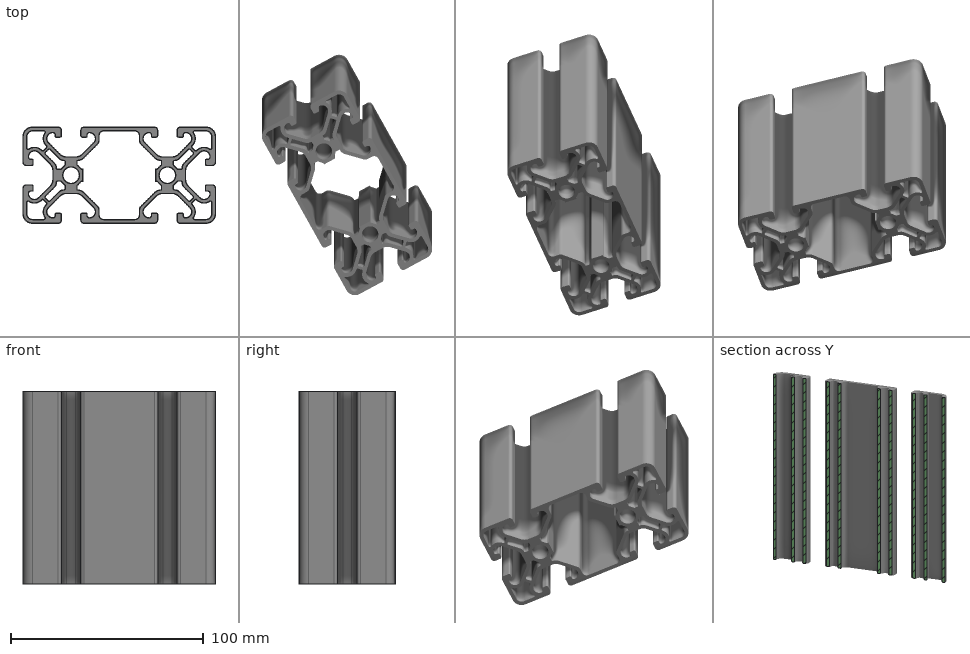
import cadquery as cq
import math

length = 100.0
width = 100.0
depth = 50.0
corner_radius = 5.0
bore_diameter = 8.5

half_module = depth / 2
module_offset = width / 2 - half_module
skin = 2.0
slot_wall = 1.9

mouth_half_width = 5.0
mouth_radius = 1.75
lip_depth = 5.3
lip_inner_half_width = 8.3
lip_radius = 0.9
lip_corner_radius = 0.6
bulb_centre_side = 9.5
bulb_centre_height = 19.0
bulb_radius = 3.1
bulb_lip_radius = 1.1
slot_floor = 9.5
slot_floor_radius = 5.0

spoke_half_width = 3.1
hub_bevel_far = 5.35
hub_bevel_near = 3.2
hub_pad_reach = 6.1
hub_corner_radius = 0.5
spoke_arc_radius = 3.6

web_outer_distance = 19.2
web_thickness = 1.4
web_corner_radius = 0.6
hollow_tip_radius = 0.7
cavity_corner_radius = 2.5
cavity_bend_radius = 2.5
cavity_spoke_arc_radius = 4.8

root2 = math.sqrt(2)
touching = 1e-6
inner_face = half_module - skin
wall_radius = bulb_radius + slot_wall
bulb_rise = bulb_centre_height - bulb_centre_side
flank_offset = bulb_rise - root2 * bulb_radius
wall_offset = bulb_rise - root2 * wall_radius
bulb_side = bulb_centre_side + bulb_radius
bulb_top = bulb_centre_height + bulb_radius
wall_side = bulb_centre_side + wall_radius
wall_floor = slot_floor - slot_wall


def corner_arc(before, corner, after):
    """Return the start, middle and end of the arc that rounds a corner (x, y, radius)."""
    x, y, radius = corner
    back = math.atan2(before[1] - y, before[0] - x)
    ahead = math.atan2(after[1] - y, after[0] - x)
    half_turn = math.remainder(ahead - back, math.tau) / 2
    half_angle = abs(half_turn)
    bisector = back + half_turn
    tangent = radius / math.tan(half_angle)
    crown = radius / math.sin(half_angle) - radius
    start = (x + tangent * math.cos(back), y + tangent * math.sin(back))
    middle = (x + crown * math.cos(bisector), y + crown * math.sin(bisector))
    end = (x + tangent * math.cos(ahead), y + tangent * math.sin(ahead))
    return start, middle, end


def rounded_prism(corners):
    """Extrude a closed outline of (x, y, radius) corners over the full length."""
    outline = cq.Workplane("XY")
    pen = None
    for index, corner in enumerate(corners):
        start = middle = end = corner[:2]
        rounded = corner[2] > 0
        if rounded:
            after = corners[(index + 1) % len(corners)]
            start, middle, end = corner_arc(corners[index - 1], corner, after)
        if pen is None:
            outline = outline.moveTo(*start)
        elif math.dist(start, pen) > touching:
            outline = outline.lineTo(*start)
        if rounded:
            outline = outline.threePointArc(middle, end)
        pen = end
    return outline.close().extrude(length)


def mirrored_in_x(corners):
    """Append the mirror image in x = 0, in reverse order, to close the outline."""
    return corners + [(-x, y, radius) for x, y, radius in reversed(corners)]


def mirrored_in_y(corners):
    """Append the mirror image in y = 0, in reverse order, to close the outline."""
    return corners + [(x, -y, radius) for x, y, radius in reversed(corners)]


def mirrored_in_diagonal(corners):
    """Append the mirror image in y = x, in reverse order, to close the outline."""
    return corners + [(y, x, radius) for x, y, radius in reversed(corners)]


def slot():
    """T-slot that opens towards +Y, with sides bulging behind the lips."""
    lip_bottom = half_module - lip_depth
    half_outline = [
        (slot_floor - flank_offset, slot_floor, slot_floor_radius),
        (bulb_side, bulb_side + flank_offset, bulb_radius),
        (bulb_side, bulb_top, bulb_radius),
        (lip_inner_half_width, bulb_top, bulb_lip_radius),
        (lip_inner_half_width, lip_bottom, lip_corner_radius),
        (mouth_half_width, lip_bottom, lip_radius),
        (mouth_half_width, half_module - mouth_radius, 0),
    ]
    body = rounded_prism(mirrored_in_x(half_outline))
    return body.union(slot_mouth())


def slot_mouth():
    """Flared mouth between the two rounded lip edges."""
    flared = mouth_half_width + mouth_radius
    lip_start = half_module - mouth_radius
    sweep = mouth_radius / root2
    return (
        cq.Workplane("XY")
        .moveTo(-mouth_half_width, lip_start)
        .lineTo(mouth_half_width, lip_start)
        .threePointArc((flared - sweep, lip_start + sweep), (flared, half_module))
        .lineTo(-flared, half_module)
        .threePointArc((sweep - flared, lip_start + sweep), (-mouth_half_width, lip_start))
        .close()
        .extrude(length)
    )


def corner_hollow():
    """Hollow behind the (+X, +Y) corner of a module, bounded by the two slot bulbs."""
    tangent_shift = wall_radius / root2
    web_side = (root2 * web_outer_distance - wall_offset) / 2
    half_outline = [
        (bulb_centre_side, inner_face, 0),
        (bulb_centre_side, bulb_centre_height, 0),
        (bulb_centre_side + tangent_shift, bulb_centre_height - tangent_shift, 0),
        (web_side, web_side + wall_offset, web_corner_radius),
    ]
    outer_corner = [(inner_face, inner_face, corner_radius - skin)]
    hollow = rounded_prism(mirrored_in_diagonal(half_outline) + outer_corner)
    bulb_walls = (
        cq.Workplane("XY")
        .pushPoints([(bulb_centre_side, bulb_centre_height), (bulb_centre_height, bulb_centre_side)])
        .circle(wall_radius)
        .extrude(length)
    )
    hollow = hollow.cut(bulb_walls)
    tip_side = bulb_centre_side + math.sqrt(wall_radius**2 - (inner_face - bulb_centre_height) ** 2)
    for x, y in [(tip_side, inner_face), (inner_face, tip_side)]:
        tip = cq.selectors.NearestToPointSelector((x, y, length / 2))
        hollow = hollow.edges("|Z").edges(tip).fillet(hollow_tip_radius)
    return hollow


def inner_hollow():
    """Diagonal hollow between two slots, from the hub out to the diagonal web."""
    web_side = (root2 * (web_outer_distance - web_thickness) - wall_offset) / 2
    half_outline = [
        (web_side, web_side + wall_offset, web_corner_radius),
        (wall_floor - wall_offset, wall_floor, spoke_arc_radius),
        (spoke_half_width, wall_floor, hub_corner_radius),
        (spoke_half_width, hub_bevel_far, hub_corner_radius),
    ]
    return rounded_prism(mirrored_in_diagonal(half_outline))


def central_cavity():
    """Large cavity between the two hubs."""
    quarter_outline = [
        (hub_pad_reach, hub_bevel_near, 0),
        (hub_bevel_far, hub_bevel_near, 0),
        (spoke_half_width, hub_bevel_far, 0),
        (spoke_half_width, wall_floor, 0),
        (wall_floor - wall_offset, wall_floor, cavity_spoke_arc_radius),
        (wall_side, wall_side + wall_offset, cavity_bend_radius),
        (wall_side, inner_face, cavity_corner_radius),
    ]
    placed = [(x - module_offset, y, radius) for x, y, radius in quarter_outline]
    return rounded_prism(mirrored_in_y(mirrored_in_x(placed)))


def module_voids():
    """Voids of the right-hand module: three slots, two pairs of hollows and the bore."""
    voids = cq.Workplane("XY").circle(bore_diameter / 2).extrude(length)
    for angle in (0, 180, -90):
        voids = voids.union(slot().rotate((0, 0, 0), (0, 0, 1), angle))
    for angle in (0, -90):
        for hollow in (corner_hollow(), inner_hollow()):
            voids = voids.union(hollow.rotate((0, 0, 0), (0, 0, 1), angle))
    return voids.translate((module_offset, 0, 0))


blank = cq.Workplane("XY").rect(width, depth).extrude(length).edges("|Z").fillet(corner_radius)
right_voids = module_voids()
left_voids = right_voids.mirror("YZ")
result = blank.cut(right_voids).cut(left_voids).cut(central_cavity())